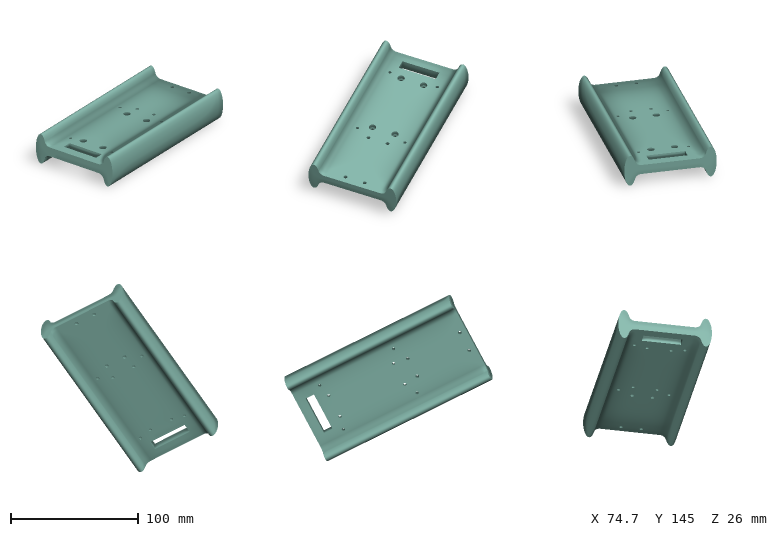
import cadquery as cq

length = 145.0
width = 74.7
height = 26.0

rail_half_width = 4.8
rail_center_x = width / 2 - rail_half_width
web_thickness = 7.8
web_top = web_thickness / 2
fillet_radius = 5.1

mount_hole_diameter = 2.9
mount_hole_x = 8.1
mount_hole_rows = (21.0, 67.0)
edge_hole_diameter = 2.5
edge_hole_x = 20.2
edge_hole_rows = (-50.2, 14.8)

screw_hole_diameter = 2.5
screw_head_diameter = 5.8
screw_head_depth = 3.0
screw_x = 9.5
screw_rows = (-47.7, 9.4)

window_width = 31.5
window_length = 7.4
window_y = -61.2


def mirrored_points(x, rows):
    """Pairs of points at -x and +x in every row."""
    return [(side * x, y) for y in rows for side in (-1, 1)]


def rail(center_x):
    """Full-length bar with an upright elliptical section."""
    return (
        cq.Workplane("XZ", origin=(0, length / 2, 0))
        .center(center_x, 0)
        .ellipse(rail_half_width, height / 2)
        .extrude(length)
    )


def body():
    """Web and rails, with the four inner corners filleted."""
    web = cq.Workplane("XY").box(2 * rail_center_x, length, web_thickness)
    joined = web.union(rail(-rail_center_x)).union(rail(rail_center_x))
    corner_zone = cq.selectors.BoxSelector(
        (-rail_center_x, -length / 4, -web_thickness),
        (rail_center_x, length / 4, web_thickness),
    )
    return joined.edges(corner_zone).fillet(fillet_radius)


def web_surface(part):
    """Workplane on the top of the web, centred on the part."""
    return part.copyWorkplane(cq.Workplane("XY", origin=(0, 0, web_top)))


result = body()
result = (
    web_surface(result)
    .pushPoints(mirrored_points(mount_hole_x, mount_hole_rows))
    .hole(mount_hole_diameter)
)
result = (
    web_surface(result)
    .pushPoints(mirrored_points(edge_hole_x, edge_hole_rows))
    .hole(edge_hole_diameter)
)
result = (
    web_surface(result)
    .pushPoints(mirrored_points(screw_x, screw_rows))
    .cboreHole(screw_hole_diameter, screw_head_diameter, screw_head_depth)
)
result = (
    web_surface(result)
    .center(0, window_y)
    .rect(window_width, window_length)
    .cutThruAll()
)